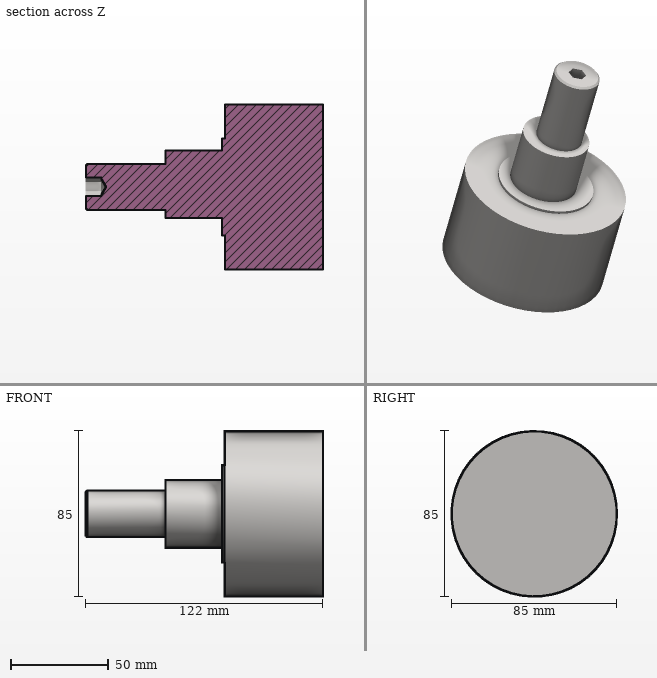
import cadquery as cq
import math

total_length = 122.0
roller_diameter = 85.0
roller_width = 50.5
flange_diameter = 50.0
flange_thickness = 1.5
collar_diameter = 35.0
collar_length = 29.0
collar_offset_y = 1.5
stud_diameter = 24.0
stud_chamfer = 1.0
socket_across_flats = 8.0
socket_depth = 8.0
socket_tip_angle = 120.0

roller_start = total_length - roller_width
flange_start = roller_start - flange_thickness
collar_start = flange_start - collar_length


def cylinder(start, length, diameter, offset_y=0.0):
    """Cylinder along +X, beginning at the given station."""
    plane = cq.Workplane("YZ", origin=(start, offset_y, 0))
    return plane.circle(diameter / 2).extrude(length)


def hex_socket():
    """Hexagonal drive recess, corners on the Y axis, with a drilled conical bottom."""
    across_corners = socket_across_flats / math.cos(math.radians(30))
    hexagon = cq.Workplane("YZ").polygon(6, across_corners).extrude(socket_depth)
    tip_radius = socket_across_flats / 2
    tip_height = tip_radius / math.tan(math.radians(socket_tip_angle / 2))
    cone = cq.Solid.makeCone(
        tip_radius, 0, tip_height, pnt=cq.Vector(socket_depth, 0, 0), dir=cq.Vector(1, 0, 0)
    )
    return hexagon.union(cq.Workplane(cone))


stud = cylinder(0, roller_start, stud_diameter).faces("<X").chamfer(stud_chamfer)
collar = cylinder(collar_start, collar_length, collar_diameter, collar_offset_y)
flange = cylinder(flange_start, flange_thickness, flange_diameter)
roller = cylinder(roller_start, roller_width, roller_diameter)

result = stud.union(collar).union(flange).union(roller).cut(hex_socket())